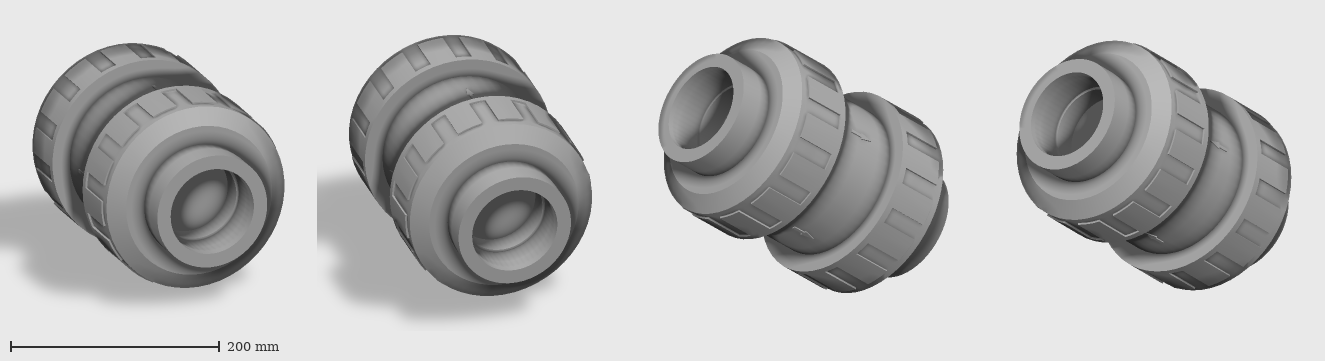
import cadquery as cq
import math

length = 285.0

socket_radius = 56.5
socket_bore_radius = 42.8
socket_bore_depth = 40.0
passage_radius = 40.2
passage_end_depth = 62.7

body_radius = 75.8
arrow_radius = 77.0
arrow_length = 27.5
arrow_head_length = 14.0
arrow_head_width = 6.8
arrow_shaft_width = 3.0
arrow_count = 4

nut_start = 34.8
nut_bevel_end = 44.5
nut_rib_start = 52.7
nut_pocket_end = 95.8
nut_end = 102.5
nut_face_radius = 75.0
nut_band_radius = 91.5
nut_rib_radius = 93.5
pocket_count = 14
pocket_angle = 10.0

half_length = length / 2
overshoot = 1.1


def cylinder_along_x(radius, start, end):
    """Solid cylinder about the X axis between two X positions."""
    return cq.Workplane("YZ").workplane(offset=start).circle(radius).extrude(end - start)


def make_pocket_cutter():
    """Wedge with radial sides that spans one pocket, from +Z towards +Y."""
    reach = nut_rib_radius * overshoot
    span = math.radians(pocket_angle)
    return (
        cq.Workplane("YZ")
        .workplane(offset=nut_rib_start - half_length)
        .polyline([(0, 0), (0, reach), (reach * math.sin(span), reach * math.cos(span))])
        .close()
        .extrude(nut_pocket_end - nut_rib_start)
    )


def make_left_nut():
    """Bevelled nut whose raised ribs are parted by shallow pockets."""
    profile = [
        (nut_start, 0),
        (nut_start, nut_face_radius),
        (nut_bevel_end, nut_band_radius),
        (nut_end, nut_band_radius),
        (nut_end, 0),
    ]
    core = (
        cq.Workplane("XY")
        .polyline([(x - half_length, radius) for x, radius in profile])
        .close()
        .revolve(360, (0, 0, 0), (1, 0, 0))
    )
    ribs = cylinder_along_x(nut_rib_radius, nut_rib_start - half_length, nut_end - half_length)
    cutter = make_pocket_cutter()
    for i in range(pocket_count):
        ribs = ribs.cut(cutter.rotate((0, 0, 0), (1, 0, 0), i * 360 / pocket_count))
    return core.union(ribs)


def make_arrow():
    """Raised arrow on top of the body, pointing along +X, with a curved outer face."""
    tail = -arrow_length / 2
    tip = arrow_length / 2
    head_start = tip - arrow_head_length
    shaft_half = arrow_shaft_width / 2
    head_half = arrow_head_width / 2
    outline = [
        (tail, -shaft_half),
        (head_start, -shaft_half),
        (head_start, -head_half),
        (tip, 0),
        (head_start, head_half),
        (head_start, shaft_half),
        (tail, shaft_half),
    ]
    prism = cq.Workplane("XY").polyline(outline).close().extrude(arrow_radius * overshoot)
    return prism.intersect(cylinder_along_x(arrow_radius, tail, tip))


def make_left_passage():
    """Stepped blind bore entering from the -X end."""
    socket = cylinder_along_x(socket_bore_radius, -half_length, socket_bore_depth - half_length)
    passage = cylinder_along_x(passage_radius, -half_length, passage_end_depth - half_length)
    return socket.union(passage)


body_half_length = half_length - nut_end
result = cylinder_along_x(socket_radius, -half_length, half_length)
result = result.union(cylinder_along_x(body_radius, -body_half_length, body_half_length))

arrow = make_arrow()
for i in range(arrow_count):
    result = result.union(arrow.rotate((0, 0, 0), (1, 0, 0), i * 360 / arrow_count))

left_nut = make_left_nut()
left_passage = make_left_passage()
for turn in (0, 180):
    result = result.union(left_nut.rotate((0, 0, 0), (0, 0, 1), turn))
    result = result.cut(left_passage.rotate((0, 0, 0), (0, 0, 1), turn))